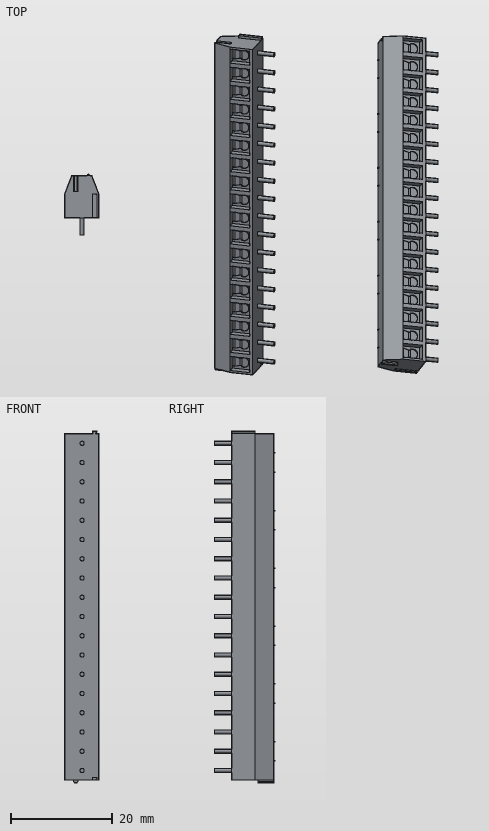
import cadquery as cq

pole_count = 18
poles_per_module = 3
body_width = 6.8
body_depth = 8.35
body_height = 68.55
shoulder_y = 4.65
back_width = 4.0
pitch = body_height / pole_count
wire_side_x = -body_width / 2

pin_diameter = 0.85
pin_length = 3.4
pin_x = 0.1

window_height = 2.9
window_depth = 1.45
window_mouth_y = 0.6
window_floor_y = 0.85
floor_x = wire_side_x + window_depth

clamp_y = 2.3
clamp_radius = 1.05
clamp_depth = 0.2
ramp_start_y = 2.7
ramp_end_y = 3.1
ramp_half_height = 0.8
guide_depth = 0.1
guide_end_y = 4.2
guide_neck_half_height = 0.8
guide_half_height = 1.05
bevel_depth = 0.4

tongue_x = 2.15
tongue_root_width = 0.6
tongue_tip_width = 0.9
tongue_height = 0.5

foot_x = -1.2
foot_root_width = 0.9
foot_tip_width = 0.4
foot_straight_height = 0.3
foot_height = 0.55
foot_length = 3.1

pip_x = 1.3
pip_width = 0.7
pip_thickness = 0.1
pip_height = 0.3


def pole_z(index):
    """Height of the centre of a pole."""
    return (index + 0.5) * pitch


def extrude_along_y(points, start_y, end_y):
    """Prism with an (x, z) outline that runs from start_y to end_y."""
    return cq.Workplane("XZ", origin=(0, start_y, 0)).polyline(points).close().extrude(start_y - end_y)


def extrude_across_z(points, height):
    """Prism with an (x, y) outline, centred on z = 0."""
    return cq.Workplane("XY").polyline(points).close().extrude(height / 2, both=True)


def make_body():
    outline = [
        (-body_width / 2, 0),
        (body_width / 2, 0),
        (body_width / 2, shoulder_y),
        (back_width / 2, body_depth),
        (-back_width / 2, body_depth),
        (-body_width / 2, shoulder_y),
    ]
    return cq.Workplane("XY").polyline(outline).close().extrude(body_height)


def make_tongue(base_z):
    outline = [
        (tongue_x, base_z),
        (tongue_x + tongue_root_width, base_z),
        (tongue_x + tongue_tip_width, base_z + tongue_height),
        (tongue_x, base_z + tongue_height),
    ]
    return extrude_along_y(outline, 0, shoulder_y)


def make_foot(base_z):
    outline = [
        (foot_x - foot_root_width / 2, base_z),
        (foot_x + foot_root_width / 2, base_z),
        (foot_x + foot_root_width / 2, base_z - foot_straight_height),
        (foot_x + foot_tip_width / 2, base_z - foot_height),
        (foot_x - foot_tip_width / 2, base_z - foot_height),
        (foot_x - foot_root_width / 2, base_z - foot_straight_height),
    ]
    return extrude_along_y(outline, body_depth - foot_length, body_depth)


def make_pin():
    return cq.Workplane("XZ", origin=(pin_x, 0, 0)).circle(pin_diameter / 2).extrude(pin_length)


def make_window():
    outline = [
        (wire_side_x, window_mouth_y),
        (floor_x, window_floor_y),
        (floor_x, shoulder_y),
        (wire_side_x, shoulder_y),
    ]
    return extrude_across_z(outline, window_height)


def make_clamp_recess():
    """Round clamp seat, a ramp beside it, and a shallow guide with a bevelled end."""
    floor = cq.Workplane("YZ", origin=(floor_x, 0, 0))
    seat = floor.center(clamp_y, 0).circle(clamp_radius).extrude(clamp_depth)
    behind_ramp = cq.Workplane("XY").box(
        clamp_depth, clamp_radius * 2, clamp_radius * 2, centered=(False, False, True)
    ).translate((floor_x, ramp_start_y, 0))
    ramp = extrude_across_z(
        [
            (floor_x, ramp_start_y),
            (floor_x + clamp_depth, ramp_start_y),
            (floor_x + guide_depth, ramp_end_y),
            (floor_x, ramp_end_y),
        ],
        ramp_half_height * 2,
    )
    guide = floor.polyline(
        [
            (ramp_end_y, -guide_neck_half_height),
            (guide_end_y, -guide_half_height),
            (guide_end_y, guide_half_height),
            (ramp_end_y, guide_neck_half_height),
        ]
    ).close().extrude(guide_depth)
    bevel = extrude_across_z(
        [
            (floor_x, guide_end_y),
            (floor_x + guide_depth, guide_end_y),
            (floor_x + bevel_depth, shoulder_y),
            (floor_x, shoulder_y),
        ],
        guide_half_height * 2,
    )
    return seat.cut(behind_ramp).union(ramp).union(guide).union(bevel)


def make_pip():
    """Triangular ridge that stands on the back face."""
    outline = [
        (pip_x - pip_width / 2, body_depth),
        (pip_x + pip_width / 2, body_depth),
        (pip_x, body_depth + pip_height),
    ]
    return extrude_across_z(outline, pip_thickness)


body = make_body().union(make_tongue(body_height)).union(make_foot(0))
body = body.cut(make_tongue(0)).cut(make_foot(body_height))

pin = make_pin()
pocket = make_window().union(make_clamp_recess())
pip = make_pip()
for pole in range(pole_count):
    body = body.union(pin.translate((0, 0, pole_z(pole))))
    body = body.cut(pocket.translate((0, 0, pole_z(pole))))
    if (pole + 1) % poles_per_module != 0:
        body = body.union(pip.translate((0, 0, (pole + 1) * pitch)))

result = body